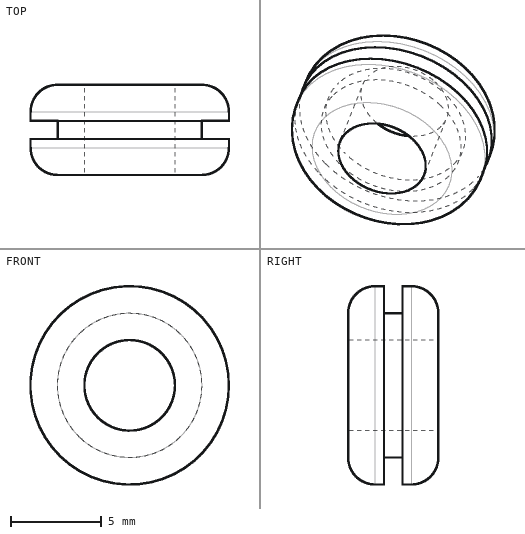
import cadquery as cq

outer_diameter = 11.0
bore_diameter = 5.0
groove_diameter = 8.0
total_width = 5.0
groove_width = 1.0
edge_radius = (outer_diameter - groove_diameter) / 2
flange_width = (total_width - groove_width) / 2


def disc(diameter, width):
    """Solid disc along Y, centred on the origin."""
    return cq.Workplane("XZ", origin=(0, width / 2, 0)).circle(diameter / 2).extrude(width)


def flange(side):
    """Flange on the +Y (side = 1) or -Y (side = -1) end, rounded on its outer edge."""
    centre = side * (groove_width + flange_width) / 2
    outer_face = ">Y" if side > 0 else "<Y"
    return (
        disc(outer_diameter, flange_width)
        .faces(outer_face)
        .edges()
        .fillet(edge_radius)
        .translate((0, centre, 0))
    )


body = disc(groove_diameter, groove_width)
for side in (-1, 1):
    body = body.union(flange(side))

result = body.cut(disc(bore_diameter, total_width))